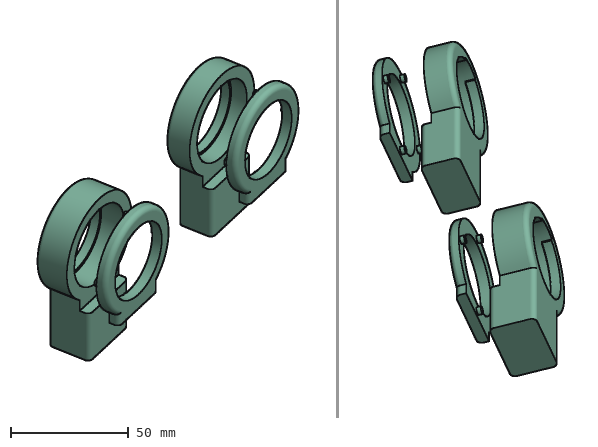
import cadquery as cq
import math

RING_DIA = 49.9
BORE_DIA = 36.0
EDGE_RADIUS = 2.4

OVERALL_WIDTH = 149.9
SET_OFFSET = (OVERALL_WIDTH - RING_DIA) / 2

DEEP_HOUSING_DEPTH = 16.0
SHALLOW_HOUSING_DEPTH = 12.5
OVERALL_HEIGHT = 76.0
STEM_WIDTH = 30.0
STEM_BOTTOM = RING_DIA / 2 - OVERALL_HEIGHT
LIP_THICKNESS = 4.5
RECESS_DIA = 38.2
NOTCH_ANGLE = 40.0

COVER_BACK = 36.0
COVER_THICKNESS = 5.0
COVER_FRONT = COVER_BACK - COVER_THICKNESS
TAB_BOTTOM = -25.6

PIN_DIA = 3.5
PIN_LENGTH = 2.0
PIN_CIRCLE_RADIUS = 21.9
PIN_COUNT = 4


def disc(diameter, x_start, length):
    """Solid cylinder along +X, centred on Y = Z = 0."""
    return cq.Workplane("YZ", origin=(x_start, 0, 0)).circle(diameter / 2).extrude(length)


def block(x_start, x_end, bottom, top):
    """Block of stem width, centred on Y = 0."""
    return (
        cq.Workplane("XY", origin=(0, 0, bottom))
        .center((x_start + x_end) / 2, 0)
        .rect(x_end - x_start, STEM_WIDTH)
        .extrude(top - bottom)
    )


def lip_notch():
    """Sector-shaped cutter that widens the lip bore to the recess diameter at the top."""
    radius = RECESS_DIA / 2
    half_angle = math.radians(NOTCH_ANGLE / 2)
    side = radius * math.sin(half_angle)
    height = radius * math.cos(half_angle)
    return (
        cq.Workplane("YZ")
        .lineTo(-side, height)
        .threePointArc((0, radius), (side, height))
        .close()
        .extrude(LIP_THICKNESS)
    )


def make_housing(depth):
    """Ring and stem; the stem steps back by the cover thickness below the cover tab."""
    ring = disc(RING_DIA, 0, depth).faces("<X").edges().fillet(EDGE_RADIUS)
    neck = block(0, depth, TAB_BOTTOM, 0).edges("|Z and <X").fillet(EDGE_RADIUS)
    stem = block(0, depth + COVER_THICKNESS, STEM_BOTTOM, TAB_BOTTOM).edges("|Z").fillet(EDGE_RADIUS)
    bore = disc(BORE_DIA, 0, depth)
    recess = disc(RECESS_DIA, LIP_THICKNESS, depth - LIP_THICKNESS)
    return ring.union(neck).union(stem).cut(bore).cut(recess).cut(lip_notch())


def make_cover():
    """Ring with a tab at the bottom and locating pins on its front face."""
    ring = disc(RING_DIA, COVER_FRONT, COVER_THICKNESS).faces(">X").edges().fillet(EDGE_RADIUS)
    tab = block(COVER_FRONT, COVER_BACK, TAB_BOTTOM, 0).edges("|Z and >X").fillet(EDGE_RADIUS)
    bore = disc(BORE_DIA, COVER_FRONT, COVER_THICKNESS)
    pins = (
        cq.Workplane("YZ", origin=(COVER_FRONT, 0, 0))
        .polarArray(PIN_CIRCLE_RADIUS, 0, 360, PIN_COUNT)
        .circle(PIN_DIA / 2)
        .extrude(-PIN_LENGTH)
    )
    return ring.union(tab).cut(bore).union(pins)


bodies = []
for y_offset, housing_depth in (
    (-SET_OFFSET, DEEP_HOUSING_DEPTH),
    (SET_OFFSET, SHALLOW_HOUSING_DEPTH),
):
    housing = make_housing(housing_depth).translate((0, y_offset, 0))
    cover = make_cover().translate((0, y_offset, 0))
    bodies += [housing.val(), cover.val()]

result = cq.Compound.makeCompound(bodies)